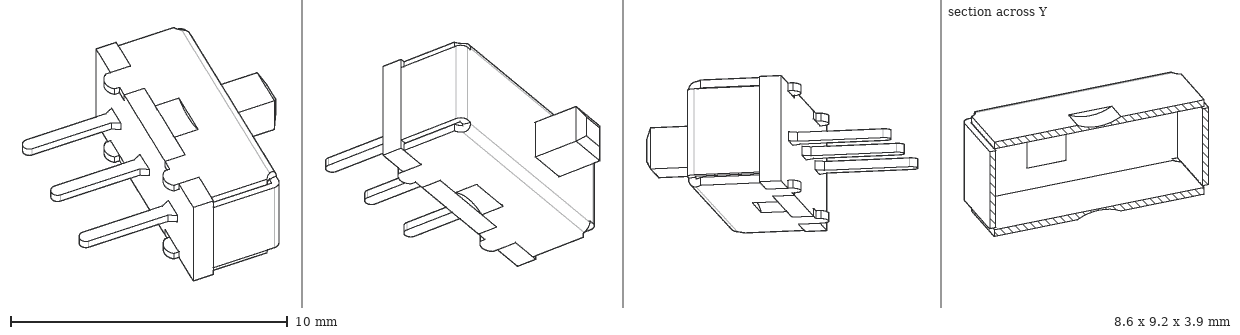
import cadquery as cq


LENGTH = 8.6
WIDTH = 3.9
TOTAL_DEPTH = 9.2
COVER_FRONT_Y = 3.505

BASE_THICKNESS = 0.8
TERMINAL_LENGTH = 3.7
TERMINAL_PITCH = 2.5
TERMINAL_WIDTH = 0.5
TERMINAL_THICKNESS = 0.33
TERMINAL_ROOT_WIDTH = 0.82
TERMINAL_FLARE = 0.3

SHEET = 0.29
END_SHEET = 0.25
END_GAP = 0.06
FLANGE_INSET = 0.18
RELIEF_RADIUS = 0.49
RELIEF_SETBACK = 0.05
RELIEF_CENTRE_Y = COVER_FRONT_Y - RELIEF_SETBACK
DETENT_WIDTH = 1.7
DETENT_DEPTH = 0.21
DETENT_END_Y = 1.74

LEG_OUTER_X = 3.02
LEG_INNER_X = 1.8
TAB_WIDTH = 0.8
TAB_LENGTH = 0.4
TAB_CROWN = 0.2

SLIDER_SIZE = 1.53
SLIDER_X = -1.095
SLIDER_TIP_SIZE = 0.83
SLIDER_TAPER = 0.21

HALF_LENGTH = LENGTH / 2
HALF_WIDTH = WIDTH / 2
SLIDER_TIP_Y = TOTAL_DEPTH - TERMINAL_LENGTH
COVER_INNER_Y = COVER_FRONT_Y - SHEET
SIDES = (-1, 1)


def block(x_range, y_range, z_range):
    """Box between two limits on each axis, given in either order."""
    (x0, x1), (y0, y1), (z0, z1) = sorted(x_range), sorted(y_range), sorted(z_range)
    return cq.Workplane("XY").box(x1 - x0, y1 - y0, z1 - z0, centered=False).translate((x0, y0, z0))


def both_flange_zones(inner_z):
    """Z ranges from inner_z out to the two side faces."""
    return [(side * inner_z, side * HALF_WIDTH) for side in SIDES]


def make_terminal(x):
    """Flat contact leg with a tapered root and a round tip."""
    half = TERMINAL_WIDTH / 2
    half_root = TERMINAL_ROOT_WIDTH / 2
    tip_start = half - TERMINAL_LENGTH
    return (
        cq.Workplane("XY", origin=(x, 0, -TERMINAL_THICKNESS / 2))
        .moveTo(-half_root, 0)
        .lineTo(-half, -TERMINAL_FLARE)
        .lineTo(-half, tip_start)
        .threePointArc((0, -TERMINAL_LENGTH), (half, tip_start))
        .lineTo(half, -TERMINAL_FLARE)
        .lineTo(half_root, 0)
        .close()
        .extrude(TERMINAL_THICKNESS)
    )


def make_base():
    """Base plate with a notch for each cover leg and three terminals."""
    base = block((-HALF_LENGTH, HALF_LENGTH), (0, BASE_THICKNESS), (-HALF_WIDTH, HALF_WIDTH))
    for z_range in both_flange_zones(HALF_WIDTH - SHEET):
        for side in SIDES:
            leg_x = (side * LEG_INNER_X, side * LEG_OUTER_X)
            base = base.cut(block(leg_x, (0, BASE_THICKNESS), z_range))
    for position in (-1, 0, 1):
        base = base.union(make_terminal(position * TERMINAL_PITCH))
    return base


def make_leg(side, z_start):
    """Flange leg filling a base notch, with a round-ended tab on its outer part."""
    leg = block(
        (side * LEG_INNER_X, side * LEG_OUTER_X),
        (0, BASE_THICKNESS),
        (z_start, z_start + SHEET),
    )
    tab_inner_x = side * (LEG_OUTER_X - TAB_WIDTH)
    tab_middle_x = side * (LEG_OUTER_X - TAB_WIDTH / 2)
    shoulder_y = TAB_CROWN - TAB_LENGTH
    tab = (
        cq.Workplane("XY", origin=(0, 0, z_start))
        .moveTo(side * LEG_OUTER_X, 0)
        .lineTo(side * LEG_OUTER_X, shoulder_y)
        .threePointArc((tab_middle_x, -TAB_LENGTH), (tab_inner_x, shoulder_y))
        .lineTo(tab_inner_x, 0)
        .close()
        .extrude(SHEET)
    )
    return leg.union(tab)


def make_corner_relief(side, z_range):
    """Cutter that parts a side flange from an end panel and rounds the corner where the bends meet."""
    edge_x = (side * (HALF_LENGTH - FLANGE_INSET), side * HALF_LENGTH)
    strip = block(edge_x, (BASE_THICKNESS, COVER_FRONT_Y), z_range)
    hole = (
        cq.Workplane("XY", origin=(side * HALF_LENGTH, RELIEF_CENTRE_Y, min(z_range)))
        .circle(RELIEF_RADIUS)
        .extrude(max(z_range) - min(z_range))
    )
    return strip.union(hole)


def make_detent(side):
    """Cutter for the shallow cylindrical hollow in a side flange."""
    half = DETENT_WIDTH / 2
    surface_z = side * HALF_WIDTH
    return (
        cq.Workplane("XZ", origin=(0, DETENT_END_Y, 0))
        .moveTo(-half, surface_z)
        .threePointArc((0, surface_z - side * DETENT_DEPTH), (half, surface_z))
        .close()
        .extrude(DETENT_END_Y - BASE_THICKNESS)
    )


def make_cover():
    """Folded cover: front plate, two end panels and two side flanges with retaining legs."""
    end_inner_x = HALF_LENGTH - END_SHEET
    flange_inner_z = HALF_WIDTH - SHEET
    end_top_z = flange_inner_z - END_GAP

    cover = block((-HALF_LENGTH, HALF_LENGTH), (BASE_THICKNESS, COVER_FRONT_Y), (-HALF_WIDTH, HALF_WIDTH))
    cover = cover.faces(">Y").edges().fillet(SHEET)
    cover = cover.cut(
        block((-end_inner_x, end_inner_x), (BASE_THICKNESS, COVER_INNER_Y), (-flange_inner_z, flange_inner_z))
    )

    for z_range in both_flange_zones(end_top_z):
        for side in SIDES:
            cover = cover.cut(make_corner_relief(side, z_range))
    for side in SIDES:
        gap_z = (side * end_top_z, side * flange_inner_z)
        cover = cover.cut(block((-HALF_LENGTH, HALF_LENGTH), (BASE_THICKNESS, COVER_INNER_Y), gap_z))

    for z_start in (-HALF_WIDTH, flange_inner_z):
        for side in SIDES:
            cover = cover.union(make_leg(side, z_start))
    for side in SIDES:
        cover = cover.cut(make_detent(side))

    half = SLIDER_SIZE / 2
    window = block((SLIDER_X - half, SLIDER_X + half), (COVER_INNER_Y, COVER_FRONT_Y), (-half, half))
    return cover.cut(window)


def make_slider():
    """Square actuator with a tapered tip, filling the window in the cover."""
    half = SLIDER_SIZE / 2
    taper_y = SLIDER_TIP_Y - SLIDER_TAPER
    shank = block((SLIDER_X - half, SLIDER_X + half), (COVER_INNER_Y, taper_y), (-half, half))
    tip = (
        cq.Workplane("XZ", origin=(SLIDER_X, taper_y, 0))
        .rect(SLIDER_SIZE, SLIDER_SIZE)
        .workplane(offset=-SLIDER_TAPER)
        .rect(SLIDER_TIP_SIZE, SLIDER_TIP_SIZE)
        .loft(ruled=True)
    )
    return shank.union(tip)


base = make_base().solids()
cover = make_cover().solids()
slider = make_slider().solids()

result = cq.Compound.makeCompound([base.val(), cover.val(), slider.val()])